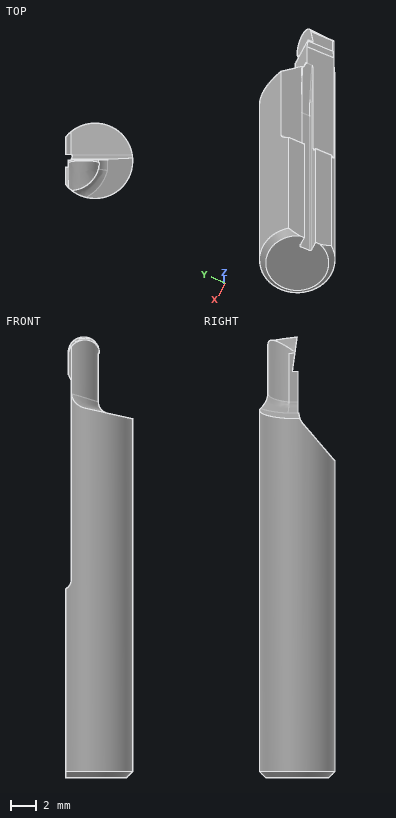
import math

import cadquery as cq

TOTAL_LENGTH = 35.0
SHANK_RADIUS = 3.0
BASE_CHAMFER = 0.5

LOWER_FLAT_X = -2.34
UPPER_FLAT_X = -1.9
FLAT_STEP_Z = 15.0
FLAT_STEP_RADIUS = 0.82

GROOVE_HALF_WIDTH = 0.5
GROOVE_FLOOR_X = -1.47
GROOVE_CORNER_RADIUS = 0.12
GROOVE_RUNOUT_START_Z = 21.5
GROOVE_END_Z = 28.94

SHOULDER_LOW_Z = 28.5
SHOULDER_ANGLE = 12.5
SHOULDER_FILLET = 0.9
NECK_BACK_Y = 0.06
NECK_SIDE_X = 0.27
NECK_ARC_X = -2.0
NECK_ARC_RADIUS = 2.36

RELIEF_STEP_Y = 0.15
RELIEF_BLEND_RADIUS = 1.25
RELIEF_ANGLE = 49.5

NOSE_RADIUS = 1.25
NOSE_X = -0.9
NOSE_Z = TOTAL_LENGTH - NOSE_RADIUS
HEAD_FLAT_X = NOSE_X - NOSE_RADIUS
HEAD_BEVEL_TOP_Z = 32.05
HEAD_BEVEL_BOTTOM_Z = 31.55
CLEARANCE_ANGLE = 7.0
RAKE_TOP_Y = 0.0
RAKE_BOTTOM_Y = -0.38
RAKE_BOTTOM_Z = 32.25

MARGIN = 4.0
SELECTION_GAP = 0.1


def make_bar():
    """Round bar with a chamfered bottom edge."""
    return cq.Workplane("XY").circle(SHANK_RADIUS).extrude(TOTAL_LENGTH).faces("<Z").chamfer(BASE_CHAMFER)


def make_shoulder():
    """Block topped by the sloping shoulder plane."""
    slope = math.tan(math.radians(SHOULDER_ANGLE))
    high_z = SHOULDER_LOW_Z + slope * (SHANK_RADIUS + MARGIN)
    low_z = SHOULDER_LOW_Z + slope * (SHANK_RADIUS - MARGIN)
    outline = [(-MARGIN, 0), (MARGIN, 0), (MARGIN, low_z), (-MARGIN, high_z)]
    return cq.Workplane("XZ").polyline(outline).close().extrude(MARGIN, both=True)


def make_neck_column():
    """Upright column whose -Y side is round."""
    return cq.Workplane("XY").center(NECK_ARC_X, 0).circle(NECK_ARC_RADIUS).extrude(TOTAL_LENGTH)


def make_shoulder_and_neck():
    """Shoulder and square-sided neck, joined by a fillet round the foot of the neck."""
    corner = cq.Vector(-MARGIN, -MARGIN, 0)
    side_limit = cq.Solid.makeBox(NECK_SIDE_X + MARGIN, 2 * MARGIN, NOSE_Z, corner)
    neck = make_neck_column().intersect(cq.Workplane(obj=side_limit))
    foot_edges = cq.selectors.BoxSelector(
        (-2 * MARGIN, -NECK_ARC_RADIUS - SELECTION_GAP, SHOULDER_LOW_Z),
        (NECK_SIDE_X + SELECTION_GAP, NECK_ARC_RADIUS + SELECTION_GAP, NOSE_Z - SELECTION_GAP),
        boundingbox=True,
    )
    upright_edges = cq.selectors.ParallelDirSelector(cq.Vector(0, 0, 1))
    return make_shoulder().union(neck).edges(foot_edges - upright_edges).fillet(SHOULDER_FILLET)


def make_head():
    """Full-radius nose carried towards -Y along the falling clearance direction."""
    fall = math.tan(math.radians(CLEARANCE_ANGLE))
    right_x = NOSE_X + NOSE_RADIUS
    profile = (
        cq.Workplane("XZ", origin=(0, MARGIN, MARGIN * fall))
        .moveTo(HEAD_FLAT_X, HEAD_BEVEL_BOTTOM_Z)
        .lineTo(HEAD_FLAT_X, NOSE_Z)
        .threePointArc((NOSE_X, TOTAL_LENGTH), (right_x, NOSE_Z))
        .lineTo(NECK_SIDE_X, NOSE_Z)
        .lineTo(NECK_SIDE_X, HEAD_BEVEL_BOTTOM_Z)
        .close()
    )
    sweep = cq.Vector(0, -2 * MARGIN, -2 * MARGIN * fall)
    nose = cq.Solid.extrudeLinear(profile.val(), [], sweep)
    return make_neck_column().intersect(cq.Workplane(obj=nose))


def make_flats_cut():
    """Material removed on the -X side by the flats, the step between them and the head bevel."""
    blend_x = FLAT_STEP_RADIUS - (UPPER_FLAT_X - LOWER_FLAT_X)
    blend_height = math.sqrt(FLAT_STEP_RADIUS**2 - blend_x**2)
    profile = (
        cq.Workplane("XZ")
        .moveTo(-MARGIN, 0)
        .lineTo(LOWER_FLAT_X, 0)
        .lineTo(LOWER_FLAT_X, FLAT_STEP_Z)
        .radiusArc((UPPER_FLAT_X, FLAT_STEP_Z + blend_height), -FLAT_STEP_RADIUS)
        .lineTo(UPPER_FLAT_X, HEAD_BEVEL_BOTTOM_Z)
        .lineTo(HEAD_FLAT_X, HEAD_BEVEL_TOP_Z)
        .lineTo(HEAD_FLAT_X, TOTAL_LENGTH)
        .lineTo(-MARGIN, TOTAL_LENGTH)
        .close()
    )
    return profile.extrude(MARGIN, both=True)


def make_groove_cut():
    """Coolant groove with rounded floor corners and a curved runout at its top end."""
    run = GROOVE_END_Z - GROOVE_RUNOUT_START_Z
    rise = GROOVE_FLOOR_X - UPPER_FLAT_X
    runout_radius = (run**2 + rise**2) / (2 * rise)
    profile = (
        cq.Workplane("XZ")
        .moveTo(-MARGIN, 0)
        .lineTo(GROOVE_FLOOR_X, 0)
        .lineTo(GROOVE_FLOOR_X, GROOVE_RUNOUT_START_Z)
        .radiusArc((UPPER_FLAT_X, GROOVE_END_Z), -runout_radius)
        .lineTo(-MARGIN, GROOVE_END_Z)
        .close()
        .extrude(GROOVE_HALF_WIDTH, both=True)
    )
    floor_corners = cq.selectors.BoxSelector(
        (UPPER_FLAT_X - SELECTION_GAP, -MARGIN, SELECTION_GAP),
        (GROOVE_FLOOR_X + SELECTION_GAP, MARGIN, GROOVE_END_Z - SELECTION_GAP),
    )
    return profile.edges(floor_corners).edges("not #Z").fillet(GROOVE_CORNER_RADIUS)


def make_relief_cut():
    """Material removed behind the neck: upright back, ledge, blend and slope down to +Y."""
    turn = math.radians(90 - RELIEF_ANGLE)
    blend_end_y = RELIEF_STEP_Y + RELIEF_BLEND_RADIUS * (1 - math.cos(turn))
    blend_end_z = GROOVE_END_Z - RELIEF_BLEND_RADIUS * math.sin(turn)
    far_z = blend_end_z - (MARGIN - blend_end_y) * math.tan(math.radians(RELIEF_ANGLE))
    profile = (
        cq.Workplane("YZ")
        .moveTo(NECK_BACK_Y, TOTAL_LENGTH)
        .lineTo(NECK_BACK_Y, GROOVE_END_Z)
        .lineTo(RELIEF_STEP_Y, GROOVE_END_Z)
        .radiusArc((blend_end_y, blend_end_z), -RELIEF_BLEND_RADIUS)
        .lineTo(MARGIN, far_z)
        .lineTo(MARGIN, TOTAL_LENGTH)
        .close()
    )
    return profile.extrude(MARGIN, both=True)


def make_rake_cut():
    """Wedge removed from the back of the head to form the tilted rake face."""
    outline = [
        (RAKE_TOP_Y, TOTAL_LENGTH),
        (RAKE_BOTTOM_Y, RAKE_BOTTOM_Z),
        (MARGIN, RAKE_BOTTOM_Z),
        (MARGIN, TOTAL_LENGTH + MARGIN),
        (RAKE_TOP_Y, TOTAL_LENGTH + MARGIN),
    ]
    return cq.Workplane("YZ").polyline(outline).close().extrude(MARGIN, both=True)


blank = make_shoulder_and_neck().union(make_head()).intersect(make_bar())
result = (
    blank.cut(make_flats_cut())
    .cut(make_groove_cut())
    .cut(make_relief_cut())
    .cut(make_rake_cut())
)